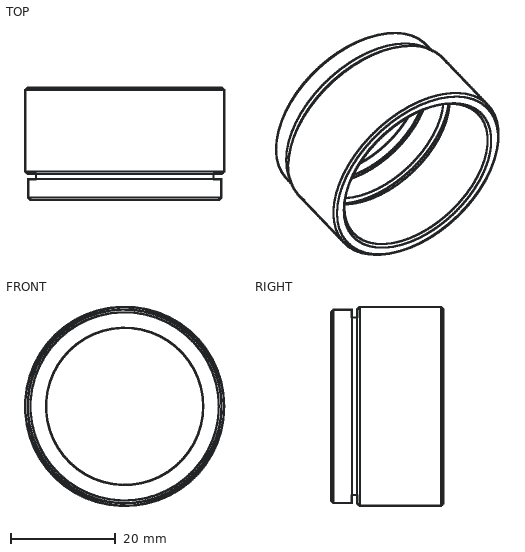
import cadquery as cq

length = 21.5
body_diameter = 38.1
collar_diameter = 37.0
groove_diameter = 34.0
edge_chamfer = 0.5

collar_length = 4.0
groove_width = 1.0

lip_bore_diameter = 30.0
middle_bore_diameter = 31.5
rear_bore_diameter = 33.0
undercut_diameter = 34.0

lip_end = 2.0
middle_end = 7.0
undercut_end = 8.0

body_start = collar_length + groove_width


def cylinder(diameter, start, end):
    """Solid cylinder about Y between two distances behind the front face."""
    return (
        cq.Workplane("XZ", origin=(0, start, 0))
        .circle(diameter / 2)
        .extrude(start - end)
    )


def make_outside():
    """Chamfered body and collar joined by the narrower groove floor."""
    body = cylinder(body_diameter, body_start, length)
    body = body.edges("%CIRCLE").chamfer(edge_chamfer)
    collar = cylinder(collar_diameter, 0, collar_length)
    collar = collar.faces("<Y").edges().chamfer(edge_chamfer)
    groove_floor = cylinder(groove_diameter, collar_length, body_start)
    return collar.union(groove_floor).union(body)


def make_bore():
    """Narrow front lip, middle bore, relief undercut and wide rear bore."""
    lip = cylinder(lip_bore_diameter, 0, lip_end)
    middle = cylinder(middle_bore_diameter, lip_end, middle_end)
    undercut = cylinder(undercut_diameter, middle_end, undercut_end)
    rear = cylinder(rear_bore_diameter, undercut_end, length)
    return lip.union(middle).union(undercut).union(rear)


def chamfer_rear_mouth(ring):
    """Break the inner edge where the rear bore meets the back face."""
    mouth_edge = cq.selectors.RadiusNthSelector(0)
    return ring.faces(">Y").edges(mouth_edge).chamfer(edge_chamfer)


result = chamfer_rear_mouth(make_outside().cut(make_bore()))